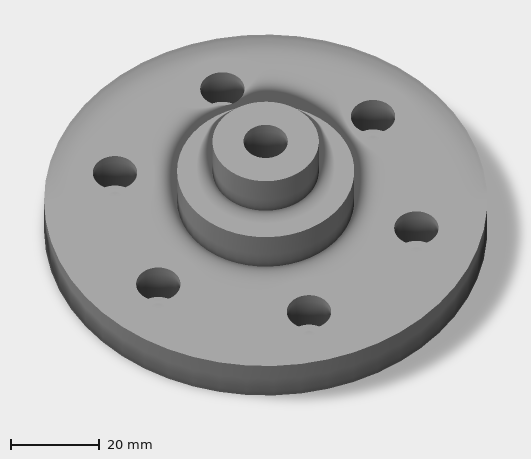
import cadquery as cq

flange_diameter = 100
hub_diameter = 40
boss_diameter = 24
step_height = 10
bore_diameter = 10
bolt_hole_diameter = 10
bolt_circle_diameter = 70
bolt_count = 6

body = cq.Workplane("XY").circle(flange_diameter / 2).extrude(step_height)
for diameter in (hub_diameter, boss_diameter):
    body = body.faces(">Z").workplane().circle(diameter / 2).extrude(step_height)

body = body.faces(">Z").workplane().hole(bore_diameter)

bolt_holes = (
    cq.Workplane("XY")
    .polarArray(bolt_circle_diameter / 2, 0, 360, bolt_count)
    .circle(bolt_hole_diameter / 2)
    .extrude(step_height)
)

result = body.cut(bolt_holes)